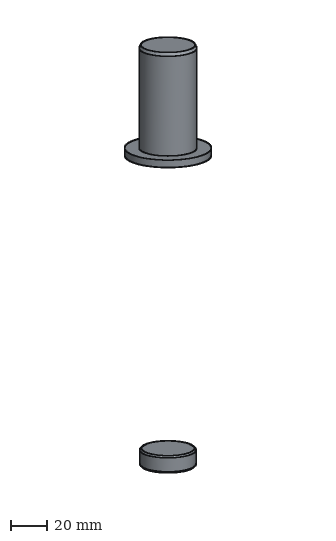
import cadquery as cq

overall_height = 243.0
pin_diameter = 32.0
pin_total_height = 64.0
pin_chamfer_height = 2.0
pin_chamfer_inset = 1.0
flange_diameter = 48.0
flange_thickness = 4.4
disc_diameter = 31.3
disc_thickness = 10.0
disc_chamfer = 1.0

flange_bottom = overall_height - pin_total_height


def make_flanged_pin():
    """Round pin with a flange at its foot and a chamfered upper end."""
    flange = cq.Workplane("XY").circle(flange_diameter / 2).extrude(flange_thickness)
    shank = (
        cq.Workplane("XY")
        .circle(pin_diameter / 2)
        .extrude(pin_total_height)
        .faces(">Z")
        .chamfer(pin_chamfer_height, pin_chamfer_inset)
    )
    return flange.union(shank).translate((0, 0, flange_bottom))


def make_disc():
    """Loose round disc, chamfered on both rims, on the axis of the pin."""
    disc = cq.Workplane("XY").circle(disc_diameter / 2).extrude(disc_thickness)
    return disc.faces("<Z or >Z").chamfer(disc_chamfer)


flanged_pin = make_flanged_pin()
disc = make_disc()

result = cq.Compound.makeCompound([flanged_pin.val(), disc.val()])